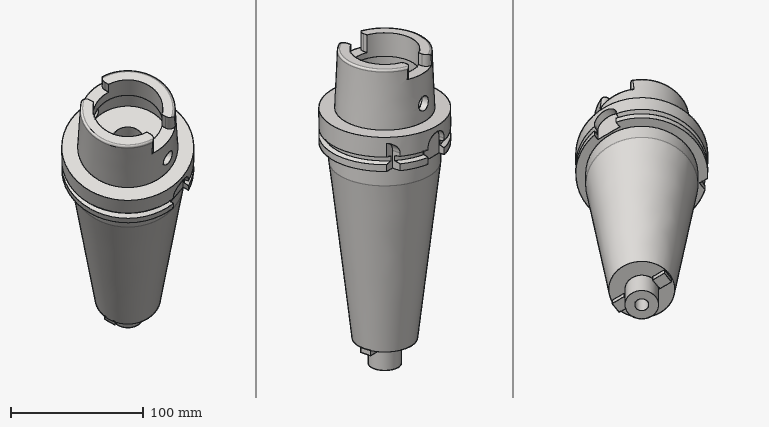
import cadquery as cq
import math


SHANK_LENGTH = 50.0
SHANK_BASE_D = 76.0
SHANK_TIP_D = 71.8
TIP_ROUND = 1.8

MOUTH_BORE_D = 53.0
MOUTH_BORE_DEPTH = 20.0
CHAMBER_D = 63.0
CHAMBER_FLOOR_Z = 9.0
COUNTERBORE_D = 24.0
COUNTERBORE_DEPTH = 20.0
UPPER_BORE_D = 12.5
UPPER_BORE_DEPTH = 20.0
THROUGH_BORE_D = 10.5

NOTCH_WIDTH = 20.0
NOTCH_CORNER_R = 5.0
NOTCH_SHOULDER_X = 33.0
NOTCH_DEPTH_NEG_X = 10.0
NOTCH_DEPTH_POS_X = 15.0

CROSS_HOLE_D = 12.0
CROSS_HOLE_Z = 15.0

FLANGE_D = 100.0
FLANGE_THICKNESS = 29.0
GROOVE_CENTER_Z = -20.0
GROOVE_BOTTOM_D = 92.0
GROOVE_OUTER_HALF_WIDTH = 3.2
GROOVE_BOTTOM_HALF_WIDTH = 2.0

SLOT_TOP_Z = -5.0
DRIVE_SLOT_WIDTH = 20.0
DRIVE_SLOT_FLOOR_X = 44.0
INDEX_SLOT_WIDTH = 18.0
INDEX_SLOT_CORNER = 31.5

BODY_D = 85.0
BODY_STRAIGHT_END_Z = -45.0
NOSE_Z = -195.0
NOSE_D = 50.0

PILOT_D = 25.4
PILOT_LENGTH = 22.0
KEY_WIDTH = 9.5
KEY_HEIGHT = 4.8
KEY_INNER_Y = 13.2
KEY_OUTER_Y = 24.0

PILOT_END_Z = NOSE_Z - PILOT_LENGTH


def revolve_profile(points):
    """Revolve a closed (radius, z) outline about the Z axis, starting on the -Y side."""
    outline = [(-radius, z) for radius, z in points]
    return cq.Workplane("YZ").polyline(outline).close().revolve(360, (0, 0), (0, 1))


def bore(diameter, bottom_z, top_z):
    """Vertical cylinder on the part axis between two heights."""
    return cq.Workplane("XY").workplane(offset=bottom_z).circle(diameter / 2).extrude(top_z - bottom_z)


def make_outside():
    groove_outer_top = GROOVE_CENTER_Z + GROOVE_OUTER_HALF_WIDTH
    groove_outer_bottom = GROOVE_CENTER_Z - GROOVE_OUTER_HALF_WIDTH
    groove_inner_top = GROOVE_CENTER_Z + GROOVE_BOTTOM_HALF_WIDTH
    groove_inner_bottom = GROOVE_CENTER_Z - GROOVE_BOTTOM_HALF_WIDTH
    outside = revolve_profile([
        (0, SHANK_LENGTH),
        (SHANK_TIP_D / 2, SHANK_LENGTH),
        (SHANK_BASE_D / 2, 0),
        (FLANGE_D / 2, 0),
        (FLANGE_D / 2, groove_outer_top),
        (GROOVE_BOTTOM_D / 2, groove_inner_top),
        (GROOVE_BOTTOM_D / 2, groove_inner_bottom),
        (FLANGE_D / 2, groove_outer_bottom),
        (FLANGE_D / 2, -FLANGE_THICKNESS),
        (BODY_D / 2, -FLANGE_THICKNESS),
        (BODY_D / 2, BODY_STRAIGHT_END_Z),
        (NOSE_D / 2, NOSE_Z),
        (PILOT_D / 2, NOSE_Z),
        (PILOT_D / 2, PILOT_END_Z),
        (0, PILOT_END_Z),
    ])
    return outside.faces(">Z").edges().fillet(TIP_ROUND)


def make_drive_key(side):
    """Key on the nose face beside the pilot; side is the sign of Y."""
    return (
        cq.Workplane("XY")
        .workplane(offset=NOSE_Z)
        .center(0, side * (KEY_INNER_Y + KEY_OUTER_Y) / 2)
        .rect(KEY_WIDTH, KEY_OUTER_Y - KEY_INNER_Y)
        .extrude(-KEY_HEIGHT)
    )


def make_inner_cavity():
    """Mouth bore opening into a wider chamber, then bores stepping down to the pilot end."""
    counterbore_floor_z = CHAMBER_FLOOR_Z - COUNTERBORE_DEPTH
    upper_bore_end_z = counterbore_floor_z - UPPER_BORE_DEPTH
    mouth_end_z = SHANK_LENGTH - MOUTH_BORE_DEPTH
    return (
        bore(MOUTH_BORE_D, mouth_end_z, SHANK_LENGTH)
        .union(bore(CHAMBER_D, CHAMBER_FLOOR_Z, mouth_end_z))
        .union(bore(COUNTERBORE_D, counterbore_floor_z, CHAMBER_FLOOR_Z))
        .union(bore(UPPER_BORE_D, upper_bore_end_z, counterbore_floor_z))
        .union(bore(THROUGH_BORE_D, PILOT_END_Z, upper_bore_end_z))
    )


def make_tip_notch(side, depth):
    """Straight channel through the shank wall, rounded out to a flat shoulder; side is the sign of X."""
    half_width = NOTCH_WIDTH / 2
    round_start_x = NOTCH_SHOULDER_X - NOTCH_CORNER_R
    round_end_y = half_width + NOTCH_CORNER_R
    mid_x = round_start_x + NOTCH_CORNER_R * math.sin(math.pi / 4)
    mid_y = round_end_y - NOTCH_CORNER_R * math.cos(math.pi / 4)
    shoulder_y = SHANK_BASE_D / 2
    half_notch = (
        cq.Workplane("XY")
        .workplane(offset=SHANK_LENGTH - depth)
        .moveTo(0, 0)
        .lineTo(0, half_width)
        .lineTo(side * round_start_x, half_width)
        .threePointArc((side * mid_x, mid_y), (side * NOTCH_SHOULDER_X, round_end_y))
        .lineTo(side * NOTCH_SHOULDER_X, shoulder_y)
        .lineTo(side * FLANGE_D / 2, shoulder_y)
        .lineTo(side * FLANGE_D / 2, 0)
        .close()
        .extrude(depth)
    )
    return half_notch.union(half_notch.mirror("XZ"))


def make_cross_hole():
    return (
        cq.Workplane("YZ")
        .center(0, CROSS_HOLE_Z)
        .circle(CROSS_HOLE_D / 2)
        .extrude(FLANGE_D / 2, both=True)
    )


def make_arched_slot(side, center_y, width, floor_x):
    """Round-topped slot cut inward along X to floor_x; side is the sign of X."""
    radius = width / 2
    arch_z = SLOT_TOP_Z - radius
    return (
        cq.Workplane("YZ")
        .workplane(offset=side * floor_x)
        .moveTo(center_y - radius, -FLANGE_THICKNESS)
        .lineTo(center_y - radius, arch_z)
        .threePointArc((center_y, SLOT_TOP_Z), (center_y + radius, arch_z))
        .lineTo(center_y + radius, -FLANGE_THICKNESS)
        .close()
        .extrude(side * FLANGE_D / 2)
    )


result = make_outside().cut(make_inner_cavity())
result = result.cut(make_cross_hole())

for side, notch_depth in ((-1, NOTCH_DEPTH_NEG_X), (1, NOTCH_DEPTH_POS_X)):
    result = result.cut(make_tip_notch(side, notch_depth))
    result = result.cut(make_arched_slot(side, 0, DRIVE_SLOT_WIDTH, DRIVE_SLOT_FLOOR_X))

for side in (-1, 1):
    result = result.union(make_drive_key(side))

index_slot_y = INDEX_SLOT_CORNER + INDEX_SLOT_WIDTH / 2
result = result.cut(make_arched_slot(-1, index_slot_y, INDEX_SLOT_WIDTH, INDEX_SLOT_CORNER))